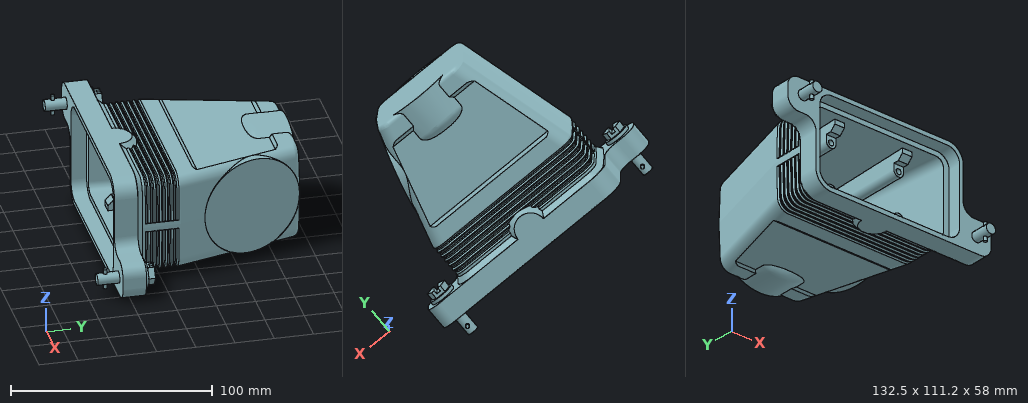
import cadquery as cq
import math


FLANGE_HALF_X = 48.0
FLANGE_HALF_Z = 29.0
FLANGE_DEPTH = 12.0
FLANGE_CORNER_R = 10.0
LUG_END_X = 66.25
LUG_INNER_Z = 9.2
LUG_R = 7.0

BODY_HALF_X = 45.0
BODY_HALF_Z = 26.6
BODY_LENGTH = 100.0
BODY_EDGE_R = 7.0
REAR_EDGE_R = 3.0
SLOPE_START_Y = 34.7
SIDE_SLOPE = 15.2
SIDE_DRAFT = 1.5
FLARE_TOP_Y = 15.0
FLARE_GROW = 2.3

PANEL_DEPTH = 0.8
PANEL_START_Y = 42.6
PANEL_END_Y = 89.0
PANEL_RAMP = 1.8

GROOVE_COUNT = 6
GROOVE_FIRST_Y = 17.75
GROOVE_PITCH = 2.93
GROOVE_WIDTH = 2.5
GROOVE_FLOOR = 0.7
GROOVE_DEPTH = 0.7
GROOVE_GAP_Z = 4.6

REAR_BOSS_R = 29.0
REAR_BOSS_START_Y = 76.8
REAR_BOSS_END_Y = 99.3
REAR_BOSS_ROUND = 5.4
SIDE_BOSS_R = 25.8
SIDE_BOSS_CORE_R = 23.1
SIDE_BOSS_Y = 73.5
SIDE_BOSS_INNER_X = 19.0

PAD_R = 8.2
PAD_BASE_R = 11.8
PAD_HEIGHT = 4.0

RECESS_HALF_X = 45.5
RECESS_HALF_Z = 26.2
RECESS_R = 8.0
RECESS_DEPTH = 8.0
CAVITY_HALF_X = 41.8
CAVITY_HALF_Z = 23.2
CAVITY_R = 5.0
CAVITY_SIDE_DRAFT = 7.9
CAVITY_WIDE_DRAFT = 1.6
CAVITY_STEEP_X = 34.3
CAVITY_STEEP_Y = 62.0
FLOOR_Y = 94.2
FLOOR_TILT = 9.0

POST_X = 22.0
POST_Z = 13.5
POST_WIDTH = 6.2
POST_FACE_Y = 19.0
POST_HOLE_D = 3.2
POST_HOLE_DEPTH = 10.0
FOOT_FACE_Y = 12.5
FOOT_INNER_Z = 17.2
FOOT_CHAMFER = 3.1

SCREW_X = 56.5
SCREW_Z = 19.5
SHANK_D = 6.1
SHANK_TIP_Y = -11.2
CROSS_PIN_Y = -6.8
CROSS_PIN_D = 2.0
CROSS_PIN_LENGTH = 10.8
WASHER_D = 13.6
WASHER_THICKNESS = 1.9
HEAD_FLATS = 9.7
HEAD_HEIGHT = 3.8
SLOT_WIDTH = 2.2
SLOT_DEPTH = 2.1

MARGIN = 1.0


def tan(degrees):
    return math.tan(math.radians(degrees))


def xz_plane(y):
    """Workplane at the given y whose local axes are X and Z; a negative extrusion goes toward +Y."""
    return cq.Workplane("XZ", origin=(0, y, 0))


def cylinder_y(x, z, diameter, y_from, y_to):
    return xz_plane(y_from).center(x, z).circle(diameter / 2).extrude(y_from - y_to)


def box(x_from, x_to, y_from, y_to, z_from, z_to):
    size = (x_to - x_from, y_to - y_from, z_to - z_from)
    return cq.Workplane("XY").box(*size, centered=False).translate((x_from, y_from, z_from))


def slope_x(y):
    """Half width of the body at its middle plane, on the sloping part."""
    return BODY_HALF_X - (y - SLOPE_START_Y) * tan(SIDE_SLOPE)


def body_outline():
    rear_x = slope_x(BODY_LENGTH)
    start_y = FLANGE_DEPTH / 2
    return cq.Workplane("XY").polyline([
        (-BODY_HALF_X, start_y),
        (BODY_HALF_X, start_y),
        (BODY_HALF_X, SLOPE_START_Y),
        (rear_x, BODY_LENGTH),
        (-rear_x, BODY_LENGTH),
        (-BODY_HALF_X, SLOPE_START_Y),
    ]).close()


def body_half():
    """Upper half of the body: the sides and the rear lean inward away from the plane z = 0."""
    half = body_outline().extrude(BODY_HALF_Z, taper=SIDE_DRAFT)
    long_edges = half.faces(">Z").edges("not #Y").edges("not |X")
    half = half.newObject(long_edges.vals()).fillet(BODY_EDGE_R)
    rear_zone_y = BODY_LENGTH - 2 * REAR_EDGE_R
    rear = cq.selectors.BoxSelector(
        (-BODY_HALF_X, rear_zone_y, MARGIN),
        (BODY_HALF_X, BODY_LENGTH + MARGIN, BODY_HALF_Z + MARGIN),
    )
    return half.edges(rear).fillet(REAR_EDGE_R)


def section_wire(y, inset):
    """Cross-section of the straight part of the body, moved inward by the inset."""
    x_mid = BODY_HALF_X - inset
    z_top = BODY_HALF_Z - inset
    x_top = x_mid - z_top * tan(SIDE_DRAFT)
    points = [
        (x_mid, 0), (x_top, z_top), (-x_top, z_top),
        (-x_mid, 0), (-x_top, -z_top), (x_top, -z_top),
    ]
    wire = cq.Wire.makePolygon([cq.Vector(x, y, z) for x, z in points], close=True)
    corners = [v for v in wire.Vertices() if abs(v.Z) > z_top / 2]
    return wire.fillet2D(BODY_EDGE_R - inset, corners)


def section_loft(stations):
    """Ruled solid through (y, inset) stations along the straight part of the body."""
    wires = [section_wire(y, inset) for y, inset in stations]
    return cq.Workplane(cq.Solid.makeLoft(wires, True))


def flare():
    return section_loft([(FLANGE_DEPTH, -FLARE_GROW), (FLARE_TOP_Y, 0)])


def groove_cutter(y_mid):
    """Trapezoidal ring groove, interrupted at the middle of the two narrow sides."""
    y_low = y_mid - GROOVE_WIDTH / 2
    y_high = y_mid + GROOVE_WIDTH / 2
    core = section_loft([
        (y_low, 0),
        (y_mid - GROOVE_FLOOR / 2, GROOVE_DEPTH),
        (y_mid + GROOVE_FLOOR / 2, GROOVE_DEPTH),
        (y_high, 0),
    ])
    reach_x = BODY_HALF_X + MARGIN
    reach_z = BODY_HALF_Z + MARGIN
    ring = box(-reach_x, reach_x, y_low, y_high, -reach_z, reach_z).cut(core)
    gap = GROOVE_GAP_Z / 2
    return ring.cut(box(-reach_x, reach_x, y_low, y_high, -gap, gap))


def panel_cutter(side):
    """Shallow pocket with ramped ends across one wide face (side is +1 or -1)."""
    floor_z = BODY_HALF_Z - PANEL_DEPTH
    top_z = BODY_HALF_Z + PANEL_DEPTH
    profile = cq.Workplane("YZ", origin=(-BODY_HALF_X, 0, 0)).polyline([
        (PANEL_START_Y + PANEL_RAMP, side * floor_z),
        (PANEL_END_Y - PANEL_RAMP, side * floor_z),
        (PANEL_END_Y + PANEL_RAMP, side * top_z),
        (PANEL_START_Y - PANEL_RAMP, side * top_z),
    ]).close()
    return profile.extrude(2 * BODY_HALF_X)


def side_boss():
    """Cable boss on the +X side, cut off by the undrafted sloping side plane."""
    boss = cq.Workplane("YZ").center(SIDE_BOSS_Y, 0).circle(SIDE_BOSS_R).extrude(BODY_HALF_X)
    return boss.intersect(body_outline().extrude(BODY_HALF_Z, both=True))


def rear_boss():
    """Cable boss standing out of both wide faces, rounded at its front end."""
    boss = cylinder_y(0, 0, 2 * REAR_BOSS_R, REAR_BOSS_START_Y, REAR_BOSS_END_Y)
    boss = boss.faces("<Y").edges().fillet(REAR_BOSS_ROUND)
    half_x = slope_x(BODY_LENGTH) - REAR_EDGE_R
    return boss.intersect(
        box(-half_x, half_x, REAR_BOSS_START_Y, REAR_BOSS_END_Y, -REAR_BOSS_R, REAR_BOSS_R)
    )


def pad(side):
    """Half-sunk conical pad on one wide face (side is +1 or -1)."""
    base = cq.Vector(0, FLANGE_DEPTH, side * (FLANGE_HALF_Z - PAD_HEIGHT))
    cone = cq.Solid.makeCone(PAD_BASE_R, PAD_R, PAD_HEIGHT, base, cq.Vector(0, 0, side))
    return cq.Workplane(cone)


def flange():
    plate = xz_plane(0).rect(2 * FLANGE_HALF_X, 2 * FLANGE_HALF_Z).extrude(-FLANGE_DEPTH)
    for side in (-1, 1):
        x_from, x_to = sorted((0, -side * LUG_END_X))
        z_from, z_to = sorted((side * LUG_INNER_Z, side * FLANGE_HALF_Z))
        plate = plate.union(box(x_from, x_to, 0, FLANGE_DEPTH, z_from, z_to))
    upright = plate.edges("|Y")
    lug_edges = [
        e for e in upright.vals()
        if abs(e.Center().x) > FLANGE_HALF_X + MARGIN or abs(e.Center().z) < FLANGE_HALF_Z - MARGIN
    ]
    plate = plate.newObject(lug_edges).fillet(LUG_R)
    corner_edges = [
        e for e in plate.edges("|Y").vals()
        if abs(abs(e.Center().x) - FLANGE_HALF_X) < MARGIN and abs(e.Center().z) > FLANGE_HALF_Z - MARGIN
    ]
    return plate.newObject(corner_edges).fillet(FLANGE_CORNER_R)


def mouth_recess():
    opening = xz_plane(0).rect(2 * RECESS_HALF_X, 2 * RECESS_HALF_Z).extrude(-RECESS_DEPTH)
    return opening.edges("|Y").fillet(RECESS_R)


def cavity_funnel():
    """Tapering pocket that runs from the mouth recess through to the rear, with rounded edges."""
    length = BODY_LENGTH - RECESS_DEPTH
    rear_x = CAVITY_HALF_X - length * tan(CAVITY_SIDE_DRAFT)
    rear_z = CAVITY_HALF_Z - length * tan(CAVITY_WIDE_DRAFT)
    narrow_walls = cq.Workplane("XY").polyline([
        (-CAVITY_HALF_X, RECESS_DEPTH), (CAVITY_HALF_X, RECESS_DEPTH),
        (rear_x, BODY_LENGTH), (-rear_x, BODY_LENGTH),
    ]).close().extrude(BODY_HALF_Z, both=True)
    wide_walls = cq.Workplane("YZ").polyline([
        (RECESS_DEPTH, -CAVITY_HALF_Z), (BODY_LENGTH, -rear_z),
        (BODY_LENGTH, rear_z), (RECESS_DEPTH, CAVITY_HALF_Z),
    ]).close().extrude(BODY_HALF_X, both=True)
    funnel = narrow_walls.intersect(wide_walls)
    long_edges = funnel.edges("not |X").edges("not |Z")
    return funnel.newObject(long_edges.vals()).fillet(CAVITY_R)


def cavity():
    """Funnel narrowed by steeper side walls at the rear and closed by a V-shaped floor."""
    front_x = CAVITY_STEEP_X + CAVITY_STEEP_Y * tan(SIDE_SLOPE)
    rear_x = CAVITY_STEEP_X - (BODY_LENGTH - CAVITY_STEEP_Y) * tan(SIDE_SLOPE)
    side_limit = cq.Workplane("XY").polyline([
        (-front_x, 0), (front_x, 0), (rear_x, BODY_LENGTH), (-rear_x, BODY_LENGTH),
    ]).close().extrude(BODY_HALF_Z, both=True)
    floor_edge_y = FLOOR_Y - BODY_HALF_Z * tan(FLOOR_TILT)
    floor_limit = cq.Workplane("YZ").polyline([
        (0, -BODY_HALF_Z), (floor_edge_y, -BODY_HALF_Z), (FLOOR_Y, 0),
        (floor_edge_y, BODY_HALF_Z), (0, BODY_HALF_Z),
    ]).close().extrude(BODY_HALF_X, both=True)
    core_length = BODY_HALF_X - SIDE_BOSS_INNER_X
    boss_core = cq.Workplane("YZ", origin=(SIDE_BOSS_INNER_X, 0, 0)).center(SIDE_BOSS_Y, 0)
    boss_core = boss_core.circle(SIDE_BOSS_CORE_R).extrude(core_length)
    behind_core = box(
        SIDE_BOSS_INNER_X, BODY_HALF_X, SIDE_BOSS_Y, BODY_LENGTH, -BODY_HALF_Z, BODY_HALF_Z
    )
    space = cavity_funnel().intersect(side_limit).intersect(floor_limit)
    return space.cut(boss_core).cut(behind_core)


def post(x, side):
    """Round-nosed post along Y, with a chamfered foot reaching forward along the wide wall."""
    half = POST_WIDTH / 2
    wall_z = CAVITY_HALF_Z + MARGIN
    z_from, z_to = sorted((side * POST_Z, side * wall_z))
    web = box(x - half, x + half, POST_FACE_Y, FLOOR_Y, z_from, z_to)
    nose = cylinder_y(x, side * POST_Z, POST_WIDTH, POST_FACE_Y, FLOOR_Y)
    foot = cq.Workplane("YZ", origin=(x - half, 0, 0)).polyline([
        (POST_FACE_Y, side * FOOT_INNER_Z),
        (FOOT_FACE_Y + FOOT_CHAMFER, side * FOOT_INNER_Z),
        (FOOT_FACE_Y, side * (FOOT_INNER_Z + FOOT_CHAMFER)),
        (FOOT_FACE_Y, side * wall_z),
        (POST_FACE_Y, side * wall_z),
    ]).close().extrude(POST_WIDTH)
    hole = cylinder_y(x, side * POST_Z, POST_HOLE_D, POST_FACE_Y, POST_FACE_Y + POST_HOLE_DEPTH)
    return web.union(nose).union(foot).cut(hole)


def screw(x, z):
    """Slotted hex screw with washer and a cross pin through its shank."""
    washer_top = FLANGE_DEPTH + WASHER_THICKNESS
    head_top = washer_top + HEAD_HEIGHT
    shank = cylinder_y(x, z, SHANK_D, SHANK_TIP_Y, FLANGE_DEPTH)
    washer = cylinder_y(x, z, WASHER_D, FLANGE_DEPTH, washer_top)
    corner_d = HEAD_FLATS / math.cos(math.pi / 6)
    head = xz_plane(washer_top).center(x, z).polygon(6, corner_d).extrude(-HEAD_HEIGHT)
    half_slot = SLOT_WIDTH / 2
    slot = box(
        x - half_slot, x + half_slot, head_top - SLOT_DEPTH, head_top, z - HEAD_FLATS, z + HEAD_FLATS
    )
    cross_pin = cq.Workplane("XY", origin=(x, CROSS_PIN_Y, z)).circle(CROSS_PIN_D / 2)
    cross_pin = cross_pin.extrude(CROSS_PIN_LENGTH / 2, both=True)
    return shank.union(washer).union(head.cut(slot)).union(cross_pin)


def hood_body():
    upper = body_half()
    body = upper.union(upper.mirror("XY")).union(side_boss())
    for side in (-1, 1):
        body = body.cut(panel_cutter(side))
    for i in range(GROOVE_COUNT):
        body = body.cut(groove_cutter(GROOVE_FIRST_Y + i * GROOVE_PITCH))
    return body.union(rear_boss()).union(flare())


def hood():
    shell = hood_body().union(flange())
    for side in (-1, 1):
        shell = shell.union(pad(side))
    space = cavity()
    for x in (-POST_X, POST_X):
        for side in (-1, 1):
            space = space.cut(post(x, side))
    shell = shell.cut(mouth_recess()).cut(space)
    for side in (-1, 1):
        shell = shell.union(screw(-side * SCREW_X, side * SCREW_Z))
    return shell


result = hood()